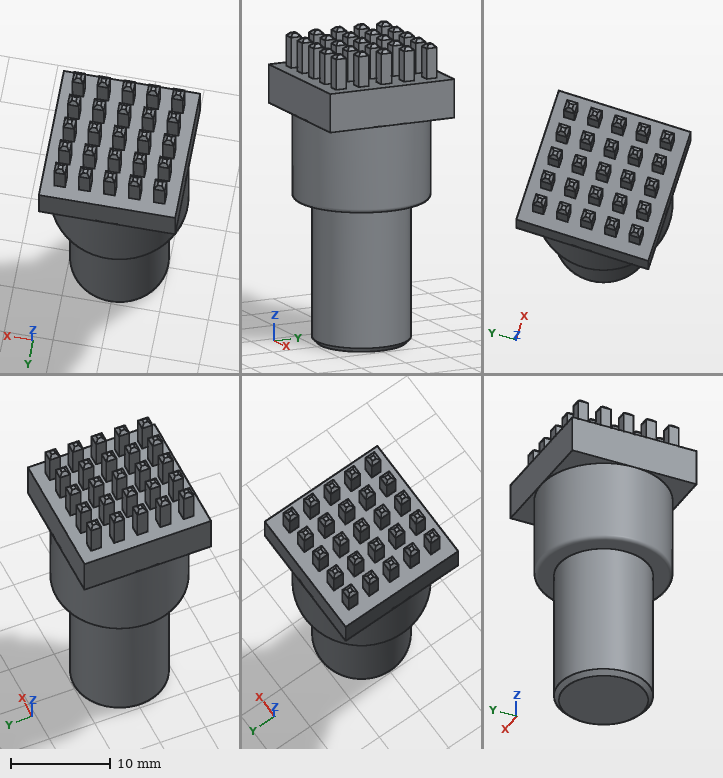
import cadquery as cq

total_height = 31.5
shank_length = 15.0
collar_length = 9.0
block_height = 4.0
pin_length = total_height - shank_length - collar_length - block_height

head_width = 14.0
shank_diameter = 10.02
shank_chamfer = 0.5
collar_fillet = 0.4

pins_per_side = 5
pin_pitch = 2.55
pin_width = 1.13
pin_chamfer = 0.35

collar_bottom = shank_length
block_bottom = collar_bottom + collar_length
block_top = block_bottom + block_height


def make_shank():
    """Round shank with a chamfered lower end."""
    shank = cq.Workplane("XY").circle(shank_diameter / 2).extrude(shank_length)
    return shank.faces("<Z").edges().chamfer(shank_chamfer)


def make_collar():
    """Wider round collar with a rounded lower rim."""
    collar = cq.Workplane("XY", origin=(0, 0, collar_bottom)).circle(head_width / 2).extrude(collar_length)
    return collar.faces("<Z").edges().fillet(collar_fillet)


def make_block():
    """Square block that carries the pins."""
    return cq.Workplane("XY", origin=(0, 0, block_bottom)).rect(head_width, head_width).extrude(block_height)


def make_pins():
    """Grid of square pins with chamfered tips, standing on the block."""
    pins = (
        cq.Workplane("XY", origin=(0, 0, block_top))
        .rarray(pin_pitch, pin_pitch, pins_per_side, pins_per_side)
        .rect(pin_width, pin_width)
        .extrude(pin_length)
    )
    return pins.faces(">Z").edges().chamfer(pin_chamfer)


result = make_shank().union(make_collar()).union(make_block()).union(make_pins())